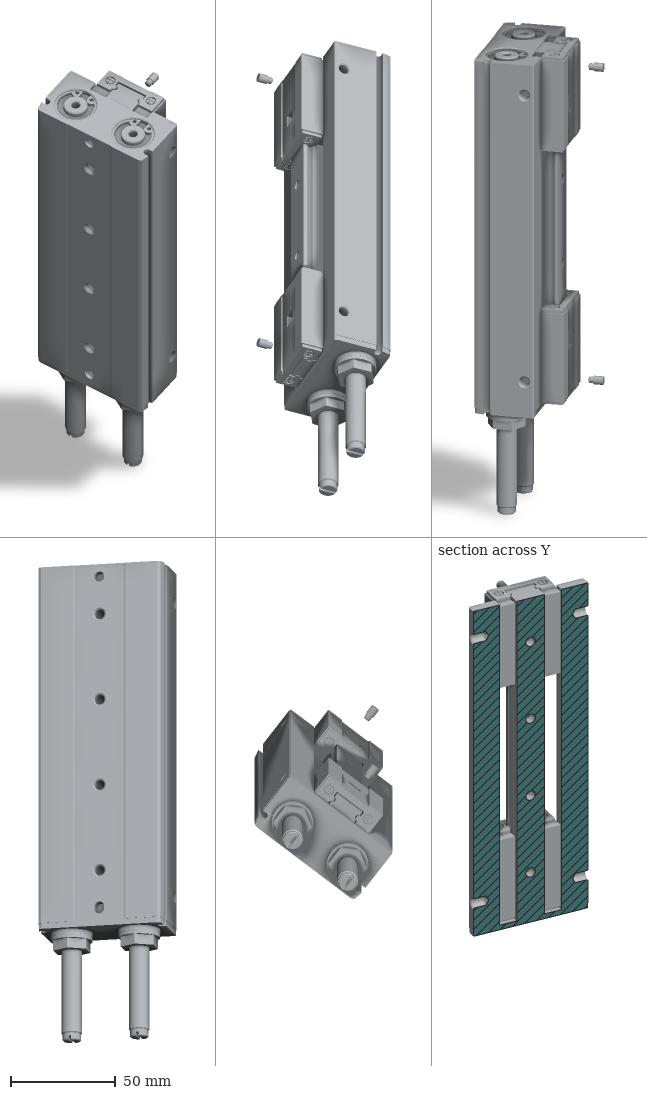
import cadquery as cq
import math

WIDTH = 62.0
HEIGHT = 177.3
DEPTH = 30.0
TOTAL_HEIGHT = 230.2
TOTAL_DEPTH = 56.5

PLATE_HEIGHT = 2.8
PLATE_INSET = 0.2
MIDDLE_Z = (HEIGHT + PLATE_HEIGHT) / 2

FLANK_INSET = 1.0
CHAMFER_WIDTH = 1.4
CHAMFER_DEPTH = 0.7

BACK_CHAMFER_WIDTH = 0.5
BACK_CHAMFER_DEPTH = 1.0

STRIP_WIDTH = 24.5
STRIP_WALL = 0.7
STRIP_DEPTH = PLATE_INSET

SLOT_WIDTH = 3.5
SLOT_DEPTH = 3.7
SLOT_Y = 6.7

MOUNT_DIAMETER = 4.8
MOUNT_MOUTH = 6.2
MOUNT_PITCH = 42.0
MOUNT_COUNT = 4
DOWEL_DIAMETER = 4.8
DOWEL_DEPTH = 4.5
DOWEL_SPACING = 162.3
DOWEL_SLOT_LENGTH = 5.8

PORT_DIAMETER = 4.8
PORT_MOUTH = 6.0
PORT_DEPTH = 7.0
PORT_SPACING = 144.0
PORT_Y = 25.0

BORE_X = 16.5
BORE_Y = 13.0
BORE_DIAMETER = 20.0
BORE_MOUTH = 21.0
BORE_DEPTH = 2.5
BOSS_DIAMETER = 11.5
BOSS_CHAMFER = 0.5
BOSS_HOLE_DIAMETER = 4.1
BOSS_HOLE_MOUTH = 5.0
BOSS_HOLE_DEPTH = 7.0
DRILL_POINT_ANGLE = 118.0

RING_INNER = 18.0
RING_DROP = 1.0
RING_GAP = 4.4
EAR_DIAMETER = 5.0
EAR_RADIUS = 8.5
EAR_ANGLE = 29.0
EAR_HOLE = 2.0

CHANNEL_FLOOR = 24.9
CHANNEL_WIDTH = 33.1
RAIL_WIDTH = 15.0
RAIL_BACK = 36.1
RAIL_DROP = 0.5
GROOVE_Y = 32.7
GROOVE_RADIUS = 1.4

CARRIAGE_WIDTH = 33.0
CARRIAGE_BACK = 41.0
CARRIAGE_FRONT = 25.5
CARRIAGE_LENGTH = 47.5
CARRIAGE_CLEARANCE = 0.7
CAP_LENGTH = 1.5
CAP_INSET = 0.7
CAP_FRONT = DEPTH
RELIEF_WIDTH = 16.5
RELIEF_DEPTH = 1.0
WINDOW_SIZE = 7.0
WINDOW_OFFSET = 0.7
SCREW_X = 11.7
SCREW_Y = 35.2
SCREW_RECESS = 5.0
SCREW_HEAD = 4.0
SCREW_DEPTH = 1.0
CROSS_WIDTH = 0.7
CROSS_DEPTH = 0.5

COLLAR_DIAMETER = 20.0
LOWER_COLLAR_DIAMETER = 19.8
COLLAR_HEIGHT = 2.0
HEX_FLATS = 16.0
HEX_HEIGHT = 4.8
ROD_DIAMETER = 10.0
TIP_DIAMETER = 8.7
TIP_HEIGHT = 3.5
ROD_CHAMFER = 0.5
DRIVER_SLOT_WIDTH = 1.4
DRIVER_SLOT_DEPTH = 1.8

PLUG_LENGTH = 7.1
PLUG_SPACING = 157.5
PLUG_HEAD_DIAMETER = 4.1
PLUG_HEAD_LENGTH = 4.5
PLUG_STEM_DIAMETER = 3.2
PLUG_STEM_CHAMFER = 0.5


def box(x_range, y_range, z_range):
    """Box between the given limits along X, Y and Z."""
    sizes = [high - low for low, high in (x_range, y_range, z_range)]
    return cq.Workplane("XY").box(*sizes, centered=False).translate((x_range[0], y_range[0], z_range[0]))


def cylinder(diameter, start, length, direction):
    return cq.Workplane(cq.Solid.makeCylinder(diameter / 2, length, cq.Vector(*start), cq.Vector(*direction)))


def cone(start_diameter, end_diameter, start, length, direction):
    solid = cq.Solid.makeCone(
        start_diameter / 2, end_diameter / 2, length, cq.Vector(*start), cq.Vector(*direction)
    )
    return cq.Workplane(solid)


def drilled_hole(diameter, mouth, depth, start, direction):
    """Blind hole with a chamfered mouth and a conical drill point."""
    chamfer = (mouth - diameter) / 2
    point_length = diameter / 2 / math.tan(math.radians(DRILL_POINT_ANGLE / 2))
    point_start = cq.Vector(*start) + cq.Vector(*direction) * depth
    hole = cylinder(diameter, start, depth, direction)
    hole = hole.union(cone(mouth, diameter, start, chamfer, direction))
    return hole.union(cone(diameter, 0, point_start.toTuple(), point_length, direction))


def spaced(spacing, count=2):
    """Heights of equally spaced features about the middle of the body, lowest first."""
    return [MIDDLE_Z + (i - (count - 1) / 2) * spacing for i in range(count)]


def housing_outline(inset, front):
    """Outline with slanted front flanks and chamfered back corners; inset shrinks its sides and back."""
    side = WIDTH / 2 - inset
    corner = side - FLANK_INSET
    flank_start = SLOT_Y - SLOT_WIDTH / 2
    half = [
        (corner - CHAMFER_WIDTH, front),
        (corner, front + CHAMFER_DEPTH),
        (side, flank_start),
        (side, DEPTH - inset - BACK_CHAMFER_DEPTH),
        (side - BACK_CHAMFER_WIDTH, DEPTH - inset),
    ]
    mirrored = [(-x, y) for x, y in reversed(half)]
    return cq.Workplane("XY").polyline(half + mirrored).close()


def housing_block():
    body = housing_outline(0, 0).extrude(HEIGHT - PLATE_HEIGHT).translate((0, 0, PLATE_HEIGHT))
    plate = housing_outline(PLATE_INSET, STRIP_DEPTH).extrude(PLATE_HEIGHT)
    return body.union(plate)


def front_strip():
    """Shallow trapezoidal strip removed from the mounting face."""
    mouth = STRIP_WIDTH / 2 + STRIP_WALL
    floor = STRIP_WIDTH / 2
    outline = [(-mouth, 0), (mouth, 0), (floor, STRIP_DEPTH), (-floor, STRIP_DEPTH)]
    return cq.Workplane("XY").polyline(outline).close().extrude(HEIGHT)


def sensor_slot(side):
    """Round-bottomed slot over the full height of one side."""
    radius = SLOT_WIDTH / 2
    wall = side * WIDTH / 2
    center = side * (WIDTH / 2 - SLOT_DEPTH + radius)
    mouth = box(sorted((center, wall)), (SLOT_Y - radius, SLOT_Y + radius), (0, HEIGHT))
    return mouth.union(cylinder(SLOT_WIDTH, (center, SLOT_Y, 0), HEIGHT, (0, 0, 1)))


def rail_outline(clearance):
    """Rail section, from the channel floor to its back, grown by clearance."""
    side = RAIL_WIDTH / 2 + clearance
    back = RAIL_BACK + clearance
    groove_low = GROOVE_Y - GROOVE_RADIUS
    groove_high = GROOVE_Y + GROOVE_RADIUS
    groove_floor = side - GROOVE_RADIUS
    return (
        cq.Workplane("XY")
        .moveTo(-side, CHANNEL_FLOOR)
        .lineTo(side, CHANNEL_FLOOR)
        .lineTo(side, groove_low)
        .threePointArc((groove_floor, GROOVE_Y), (side, groove_high))
        .lineTo(side, back)
        .lineTo(-side, back)
        .lineTo(-side, groove_high)
        .threePointArc((-groove_floor, GROOVE_Y), (-side, groove_low))
        .close()
    )


def rail():
    height = HEIGHT - RAIL_DROP - PLATE_HEIGHT
    return rail_outline(0).extrude(height).translate((0, 0, PLATE_HEIGHT))


def channel():
    half = CHANNEL_WIDTH / 2
    return box((-half, half), (CHANNEL_FLOOR, DEPTH), (PLATE_HEIGHT, HEIGHT))


def mounting_hole(z):
    """Hole through the housing and the rail."""
    start = (0, STRIP_DEPTH, z)
    chamfer = (MOUNT_MOUTH - MOUNT_DIAMETER) / 2
    hole = cylinder(MOUNT_DIAMETER, start, RAIL_BACK, (0, 1, 0))
    return hole.union(cone(MOUNT_MOUTH, MOUNT_DIAMETER, start, chamfer, (0, 1, 0)))


def dowel_holes():
    """A slotted dowel hole near the bottom and a round one near the top."""
    bottom_z, top_z = spaced(DOWEL_SPACING)
    floor = STRIP_DEPTH + DOWEL_DEPTH
    slot = (
        cq.Workplane("XZ", origin=(0, floor, bottom_z))
        .slot2D(DOWEL_SLOT_LENGTH, DOWEL_DIAMETER, 90)
        .extrude(DOWEL_DEPTH)
    )
    return slot.union(cylinder(DOWEL_DIAMETER, (0, STRIP_DEPTH, top_z), DOWEL_DEPTH, (0, 1, 0)))


def bore_recess(x):
    """Ring-shaped recess round the boss, with a chamfered mouth and the blind hole in the boss."""
    top = (x, BORE_Y, HEIGHT)
    down = (0, 0, -1)
    chamfer = (BORE_MOUTH - BORE_DIAMETER) / 2
    recess = cylinder(BORE_DIAMETER, top, BORE_DEPTH, down)
    recess = recess.union(cone(BORE_MOUTH, BORE_DIAMETER, top, chamfer, down))
    boss = cylinder(BOSS_DIAMETER, top, BORE_DEPTH, down).faces(">Z").chamfer(BOSS_CHAMFER)
    recess = recess.cut(boss)
    return recess.union(drilled_hole(BOSS_HOLE_DIAMETER, BOSS_HOLE_MOUTH, BOSS_HOLE_DEPTH, top, down))


def retaining_ring(x):
    """Open ring on the floor of the recess, with a drilled ear on each side of its gap."""
    floor = HEIGHT - BORE_DEPTH
    height = BORE_DEPTH - RING_DROP
    up = (0, 0, 1)
    axis = (x, BORE_Y, floor)
    disc = cylinder(BORE_DIAMETER, axis, height, up)
    ring = disc.cut(cylinder(RING_INNER, axis, height, up))
    ear_holes = []
    for side in (-1, 1):
        angle = math.radians(EAR_ANGLE)
        ear_x = x + side * EAR_RADIUS * math.sin(angle)
        ear_y = BORE_Y + EAR_RADIUS * math.cos(angle)
        ring = ring.union(cylinder(EAR_DIAMETER, (ear_x, ear_y, floor), height, up).intersect(disc))
        ear_holes.append(cylinder(EAR_HOLE, (ear_x, ear_y, floor), height, up))
    gap = box((x - RING_GAP / 2, x + RING_GAP / 2), (BORE_Y, BORE_Y + BORE_DIAMETER), (floor, HEIGHT))
    boss = cylinder(BOSS_DIAMETER, axis, height, up)
    for hole in ear_holes:
        ring = ring.cut(hole)
    return ring.cut(gap).cut(boss)


def make_housing():
    housing = housing_block().cut(front_strip()).cut(channel()).union(rail())
    for side in (-1, 1):
        housing = housing.cut(sensor_slot(side))
        for z in spaced(PORT_SPACING):
            start = (side * WIDTH / 2, PORT_Y, z)
            housing = housing.cut(drilled_hole(PORT_DIAMETER, PORT_MOUTH, PORT_DEPTH, start, (-side, 0, 0)))
        housing = housing.cut(bore_recess(side * BORE_X)).union(retaining_ring(side * BORE_X))
    for z in spaced(MOUNT_PITCH, MOUNT_COUNT):
        housing = housing.cut(mounting_hole(z))
    return housing.cut(dowel_holes())


def cap_screw(x, end_z, outward):
    """Material to remove for one cross-head screw sunk in the end of a carriage."""
    start = (x, SCREW_Y, end_z)
    inward = (0, 0, -outward)
    ring = cylinder(SCREW_RECESS, start, SCREW_DEPTH, inward).cut(
        cylinder(SCREW_HEAD, start, SCREW_DEPTH, inward)
    )
    bar = cq.Workplane("XY").box(SCREW_HEAD, CROSS_WIDTH, 2 * CROSS_DEPTH)
    cross = bar.union(bar.rotate((0, 0, 0), (0, 0, 1), 90)).translate(start)
    return ring.union(cross)


def make_carriage(bottom, toward_middle):
    """Carriage on the rail; toward_middle is the Z direction to the middle of the housing."""
    top = bottom + CARRIAGE_LENGTH
    half = CARRIAGE_WIDTH / 2
    cap_half = half - CAP_INSET
    block = box((-half, half), (CARRIAGE_FRONT, CARRIAGE_BACK), (bottom + CAP_LENGTH, top - CAP_LENGTH))
    caps = box((-cap_half, cap_half), (CAP_FRONT, CARRIAGE_BACK - CAP_INSET), (bottom, top))
    relief = box(
        (-RELIEF_WIDTH / 2, RELIEF_WIDTH / 2), (CARRIAGE_BACK - RELIEF_DEPTH, CARRIAGE_BACK), (bottom, top)
    )
    passage = rail_outline(CARRIAGE_CLEARANCE).extrude(CARRIAGE_LENGTH).translate((0, 0, bottom))
    near_edge = (bottom + top) / 2 + toward_middle * WINDOW_OFFSET
    far_edge = near_edge + toward_middle * WINDOW_SIZE
    window = box(
        (-WINDOW_SIZE / 2, WINDOW_SIZE / 2), (RAIL_BACK, CARRIAGE_BACK), sorted((near_edge, far_edge))
    )
    carriage = block.union(caps).cut(relief).cut(passage).cut(window)
    for end_z, outward in ((bottom, -1), (top, 1)):
        for x in (-SCREW_X, SCREW_X):
            carriage = carriage.cut(cap_screw(x, end_z, outward))
    return carriage


def make_adjuster(x):
    """Collars, hexagon and rod hanging from the end plate, with a driver slot in the tip."""
    end = HEIGHT - TOTAL_HEIGHT
    adjuster = (
        cq.Workplane("XY")
        .circle(COLLAR_DIAMETER / 2)
        .extrude(-COLLAR_HEIGHT)
        .faces("<Z")
        .workplane()
        .circle(LOWER_COLLAR_DIAMETER / 2)
        .extrude(COLLAR_HEIGHT)
    )
    hexagon_diameter = HEX_FLATS / math.cos(math.pi / 6)
    hexagon = (
        cq.Workplane("XY")
        .polygon(6, hexagon_diameter)
        .extrude(-HEX_HEIGHT)
        .rotate((0, 0, 0), (0, 0, 1), 90)
        .translate((0, 0, -2 * COLLAR_HEIGHT))
    )
    rod = cq.Workplane("XY").circle(ROD_DIAMETER / 2).extrude(end + TIP_HEIGHT)
    rod = rod.faces("<Z").chamfer(ROD_CHAMFER)
    tip = cq.Workplane("XY").circle(TIP_DIAMETER / 2).extrude(end).faces("<Z").chamfer(ROD_CHAMFER)
    half_slot = DRIVER_SLOT_WIDTH / 2
    slot = box((-half_slot, half_slot), (-TIP_DIAMETER, TIP_DIAMETER), (end, end + DRIVER_SLOT_DEPTH))
    return adjuster.union(hexagon).union(rod).union(tip).cut(slot).translate((x, BORE_Y, 0))


def make_plug(z):
    """Turned plug along Y: a round head with a thinner stem pointing at the housing."""
    back = (0, 1, 0)
    stem = cylinder(PLUG_STEM_DIAMETER, (0, TOTAL_DEPTH - PLUG_LENGTH, z), PLUG_LENGTH, back)
    stem = stem.faces("<Y").chamfer(PLUG_STEM_CHAMFER)
    head = cylinder(PLUG_HEAD_DIAMETER, (0, TOTAL_DEPTH - PLUG_HEAD_LENGTH, z), PLUG_HEAD_LENGTH, back)
    return stem.union(head)


housing = make_housing()
carriages = [make_carriage(PLATE_HEIGHT, 1), make_carriage(HEIGHT - CARRIAGE_LENGTH, -1)]
adjusters = [make_adjuster(x) for x in (-BORE_X, BORE_X)]
plugs = [make_plug(z) for z in spaced(PLUG_SPACING)]

bodies = [housing, *carriages, *adjusters, *plugs]
result = cq.Compound.makeCompound([body.val() for body in bodies])